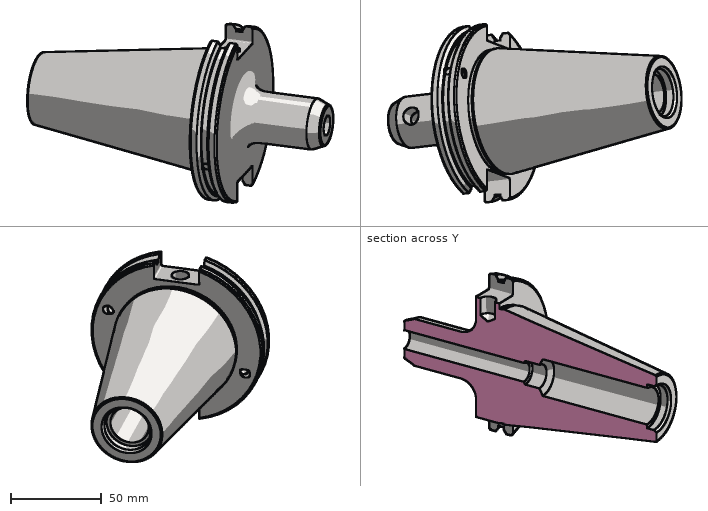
import cadquery as cq
import math

LENGTH = 168.4

TAPER_LENGTH = 101.4
TAPER_SMALL_RADIUS = 20.2
TAPER_RATIO = 7 / 48
TAPER_LARGE_RADIUS = TAPER_SMALL_RADIUS + TAPER_RATIO * TAPER_LENGTH
TAPER_END_CHAMFER = 0.7
RELIEF_START = 102.5
RELIEF_RADIUS = 69.2 / 2

FLANGE_START = 104.7
FLANGE_WIDTH = 15.8
FLANGE_END = FLANGE_START + FLANGE_WIDTH
FLANGE_MIDDLE = FLANGE_START + FLANGE_WIDTH / 2
FLANGE_RADIUS = 98.0 / 2
FLANGE_CHAMFER = 1.0
GROOVE_START = 109.1
GROOVE_END = 116.2
GROOVE_FLOOR_START = 110.8
GROOVE_FLOOR_END = 114.5
GROOVE_SHOULDER_RADIUS = 46.6
GROOVE_FLOOR_RADIUS = 45.5

NOSE_RADIUS = 28.6 / 2
NOSE_FILLET = 10.1
NOSE_CONE_START = 161.3
NOSE_END_RADIUS = 11.6
NOSE_END_CHAMFER = 0.7

MOUTH_RADIUS = 28.6 / 2
MOUTH_DEPTH = 1.7
COUNTERBORE_RADIUS = 26.3 / 2
COUNTERBORE_DEPTH = 6.2
THREAD_BORE_RADIUS = 21.9 / 2
THREAD_BORE_DEPTH = 75.8
PILOT_RADIUS = 14.0 / 2
PILOT_DEPTH = 87.5
THROUGH_RADIUS = 11.1 / 2
DRILL_HALF_ANGLE = 59.0

SLOT_WIDTH = 26.0
TOP_SLOT_FLOOR = 37.7
BOTTOM_SLOT_FLOOR = 35.0
SLOT_CORNER_FILLET = 0.8

SLOT_HOLE_DIAMETER = 9.6
SLOT_HOLE_DEPTH = 10.1
SCREW_HOLE_DIAMETER = 9.6
SCREW_HOLE_X = 152.0
PORT_ANGLE = 20.0
PORT_TILT = 30.0
PORT_RADIUS_ON_FACE = 41.8
PORT_MOUTH_DIAMETER = 5.0
PORT_MOUTH_DEPTH = 2.2
PORT_DIAMETER = 4.2
PORT_DEPTH = 8.5
PLUG_SEAT_DIAMETER = 4.2
PLUG_SEAT_DEPTH = 0.2


def drill_tip_length(radius_change):
    return radius_change / math.tan(math.radians(DRILL_HALF_ANGLE))


def turn(profile):
    """Revolve a closed (x, radius) profile about the X axis."""
    return profile.close().revolve(360, (0, 0, 0), (1, 0, 0))


def drill(start, direction, diameter, depth, pointed=False):
    """Round cutter from a start point, optionally with a conical tip."""
    radius = diameter / 2
    start = cq.Vector(*start)
    direction = cq.Vector(*direction).normalized()
    cutter = cq.Workplane(cq.Solid.makeCylinder(radius, depth, start, direction))
    if pointed:
        tip_start = start + direction * depth
        tip = cq.Solid.makeCone(radius, 0, drill_tip_length(radius), tip_start, direction)
        cutter = cutter.union(cq.Workplane(tip))
    return cutter


def turned_body():
    arc_offset = NOSE_FILLET * (1 - math.sqrt(0.5))
    profile = (
        cq.Workplane("XY")
        .moveTo(0, 0)
        .lineTo(0, TAPER_SMALL_RADIUS - TAPER_END_CHAMFER)
        .lineTo(TAPER_END_CHAMFER, TAPER_SMALL_RADIUS + TAPER_RATIO * TAPER_END_CHAMFER)
        .lineTo(TAPER_LENGTH, TAPER_LARGE_RADIUS)
        .lineTo(RELIEF_START, RELIEF_RADIUS)
        .lineTo(FLANGE_START, RELIEF_RADIUS)
        .lineTo(FLANGE_START, FLANGE_RADIUS - FLANGE_CHAMFER)
        .lineTo(FLANGE_START + FLANGE_CHAMFER, FLANGE_RADIUS)
        .lineTo(GROOVE_START, FLANGE_RADIUS)
        .lineTo(GROOVE_FLOOR_START, GROOVE_SHOULDER_RADIUS)
        .lineTo(GROOVE_FLOOR_START, GROOVE_FLOOR_RADIUS)
        .lineTo(GROOVE_FLOOR_END, GROOVE_FLOOR_RADIUS)
        .lineTo(GROOVE_FLOOR_END, GROOVE_SHOULDER_RADIUS)
        .lineTo(GROOVE_END, FLANGE_RADIUS)
        .lineTo(FLANGE_END - FLANGE_CHAMFER, FLANGE_RADIUS)
        .lineTo(FLANGE_END, FLANGE_RADIUS - FLANGE_CHAMFER)
        .lineTo(FLANGE_END, NOSE_RADIUS + NOSE_FILLET)
        .threePointArc(
            (FLANGE_END + arc_offset, NOSE_RADIUS + arc_offset),
            (FLANGE_END + NOSE_FILLET, NOSE_RADIUS),
        )
        .lineTo(NOSE_CONE_START, NOSE_RADIUS)
        .lineTo(LENGTH - NOSE_END_CHAMFER, NOSE_END_RADIUS)
        .lineTo(LENGTH, NOSE_END_RADIUS - NOSE_END_CHAMFER)
        .lineTo(LENGTH, 0)
    )
    return turn(profile)


def axial_bore():
    pilot_start = THREAD_BORE_DEPTH + drill_tip_length(THREAD_BORE_RADIUS - PILOT_RADIUS)
    through_start = PILOT_DEPTH + drill_tip_length(PILOT_RADIUS - THROUGH_RADIUS)
    profile = (
        cq.Workplane("XY")
        .moveTo(0, 0)
        .lineTo(0, MOUTH_RADIUS)
        .lineTo(MOUTH_DEPTH, COUNTERBORE_RADIUS)
        .lineTo(COUNTERBORE_DEPTH, COUNTERBORE_RADIUS)
        .lineTo(COUNTERBORE_DEPTH, THREAD_BORE_RADIUS)
        .lineTo(THREAD_BORE_DEPTH, THREAD_BORE_RADIUS)
        .lineTo(pilot_start, PILOT_RADIUS)
        .lineTo(PILOT_DEPTH, PILOT_RADIUS)
        .lineTo(through_start, THROUGH_RADIUS)
        .lineTo(LENGTH, THROUGH_RADIUS)
        .lineTo(LENGTH, 0)
    )
    return turn(profile)


def drive_slot(floor, side):
    """Slot across the flange; side is +1 for +Z and -1 for -Z."""
    height = FLANGE_RADIUS - floor
    middle = side * (floor + height / 2)
    slot = cq.Workplane("XY").box(FLANGE_WIDTH, SLOT_WIDTH, height)
    floor_face = "<Z" if side > 0 else ">Z"
    slot = slot.faces(floor_face).edges("|X").fillet(SLOT_CORNER_FILLET)
    return slot.translate((FLANGE_MIDDLE, 0, middle))


def coolant_port():
    """Stepped port on the flange face, tilted inwards, in the +Y direction."""
    tilt = math.radians(PORT_TILT)
    direction = (math.cos(tilt), -math.sin(tilt), 0)
    lead = PORT_MOUTH_DIAMETER
    start = (
        FLANGE_START - lead * math.cos(tilt),
        PORT_RADIUS_ON_FACE + lead * math.sin(tilt),
        0,
    )
    mouth = drill(start, direction, PORT_MOUTH_DIAMETER, lead + PORT_MOUTH_DEPTH)
    passage = drill(start, direction, PORT_DIAMETER, lead + PORT_DEPTH, pointed=True)
    return mouth.union(passage)


def plug_seat():
    """Shallow flat seat in the groove floor, in the +Y direction."""
    start = (FLANGE_MIDDLE, GROOVE_FLOOR_RADIUS - PLUG_SEAT_DEPTH, 0)
    seat_height = FLANGE_RADIUS - GROOVE_FLOOR_RADIUS
    return drill(start, (0, 1, 0), PLUG_SEAT_DIAMETER, seat_height)


result = turned_body().cut(axial_bore())
result = result.cut(drive_slot(TOP_SLOT_FLOOR, 1)).cut(drive_slot(BOTTOM_SLOT_FLOOR, -1))

slot_hole = drill((FLANGE_MIDDLE, 0, TOP_SLOT_FLOOR), (0, 0, -1), SLOT_HOLE_DIAMETER, SLOT_HOLE_DEPTH, True)
result = result.cut(slot_hole)

screw_hole = drill((SCREW_HOLE_X, 0, 0), (0, 1, 0), SCREW_HOLE_DIAMETER, NOSE_RADIUS)
result = result.cut(screw_hole)

for angle in (PORT_ANGLE, PORT_ANGLE + 180):
    for cutter in (coolant_port(), plug_seat()):
        result = result.cut(cutter.rotate((0, 0, 0), (1, 0, 0), angle))